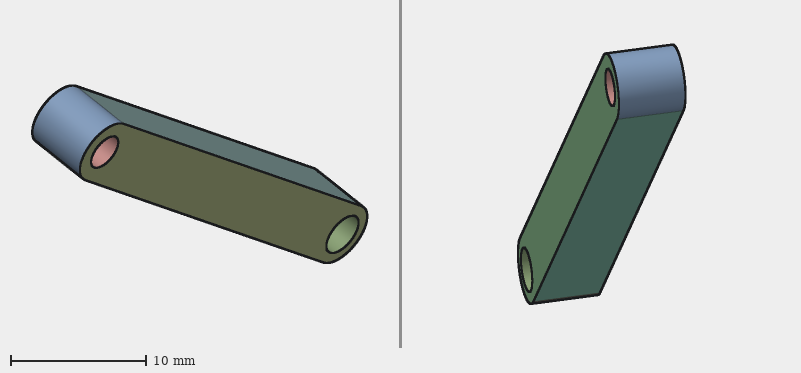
import cadquery as cq
import math

thickness = 5.1
depth = 29.4
height = 34.4

end_diameter = 5.1
upper_hole_diameter = 2.8
lower_hole_diameter = 3.3

pin_offset_y = (depth - end_diameter) / 2
pin_offset_z = (height - end_diameter) / 2
upper_pin = (-pin_offset_y, pin_offset_z)
lower_pin = (pin_offset_y, -pin_offset_z)
pin_spacing = 2 * math.hypot(pin_offset_y, pin_offset_z)
tilt = math.degrees(math.atan2(pin_offset_z, -pin_offset_y))


def link_body():
    """Straight bar with full-round ends, centred on the origin."""
    return (
        cq.Workplane("YZ")
        .slot2D(pin_spacing + end_diameter, end_diameter, tilt)
        .extrude(thickness / 2, both=True)
    )


def pin_hole(center, diameter):
    """Cutter for a hole through the full thickness."""
    return (
        cq.Workplane("YZ")
        .center(*center)
        .circle(diameter / 2)
        .extrude(thickness / 2, both=True)
    )


result = (
    link_body()
    .cut(pin_hole(upper_pin, upper_hole_diameter))
    .cut(pin_hole(lower_pin, lower_hole_diameter))
)